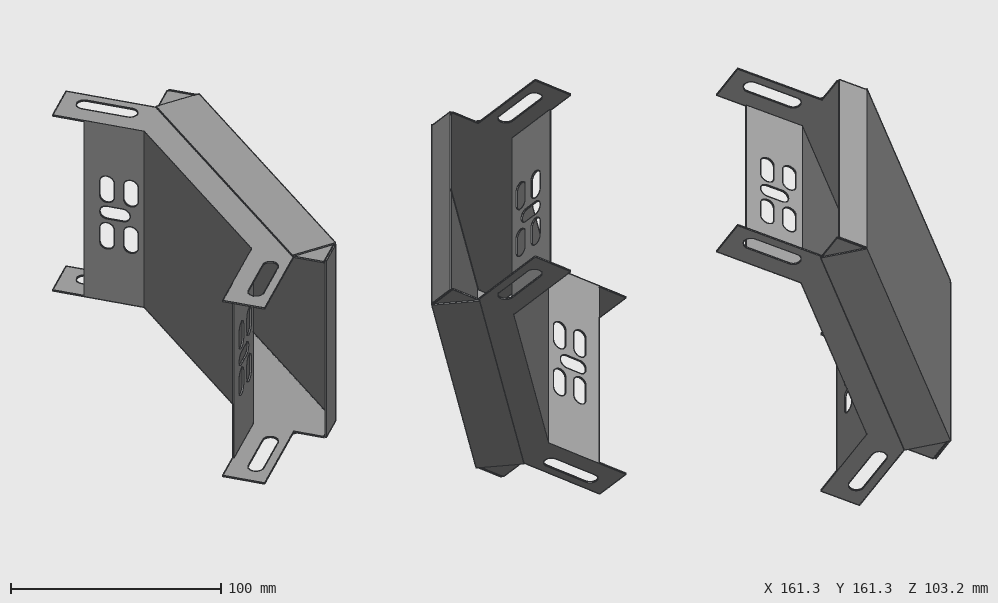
import cadquery as cq
import math

overall_length = 161.3
overall_height = 103.2

sheet = 0.8

arm_inner = 124.2
arm_outer = 145.2
bend_start = 45.7
wall_start = 15.6

lid_corner = 61.1
end_wall_start = 46.3
lip_reach = 16.3
clearance = 0.3

flange_slot_length = 30.3
flange_slot_width = 7.6
flange_slot_x = 23.0
flange_slot_edge_distance = 8.0

wall_slot_length = 15.2
wall_slot_width = 7.3
wall_slot_x = 27.1
wall_slot_column_pitch = 12.0
wall_slot_row_pitch = 26.8

bracket_height = overall_height - 2 * sheet
bend_angle = 45.0
bend_shift = math.tan(math.radians(bend_angle / 2))
flange_slot_y = arm_outer - flange_slot_edge_distance


def mirrored(points):
    """Extend a half outline with its mirror image about x = y."""
    return points + [(y, x) for x, y in reversed(points)]


def prism(points, bottom, height):
    """Extrude a closed plan outline upward from the given level."""
    return cq.Workplane("XY").workplane(offset=bottom).polyline(points).close().extrude(height)


def bent_wall(start, corner, line, thickness):
    """Sheet wall along y = line, bent to the diagonal at x = corner, thickened toward larger Y."""
    near_face = mirrored([(start, line), (corner, line)])
    far_corner = corner + thickness * bend_shift
    far_face = mirrored([(start, line + thickness), (far_corner, line + thickness)])
    return prism(near_face + far_face[::-1], -bracket_height / 2, bracket_height)


def both_arms(tool):
    """A tool for the X arm together with its mirror image for the Y arm."""
    twin = tool.rotate((0, 0, 0), (1, 1, 0), 180)
    return tool.union(twin)


def make_flange_slots():
    """Cutters for the long slots, through the top and bottom flanges of both arms."""
    slot = (
        cq.Workplane("XY")
        .center(flange_slot_x, flange_slot_y)
        .slot2D(flange_slot_length, flange_slot_width)
        .extrude(overall_height / 2, both=True)
    )
    return both_arms(slot)


def make_wall_slots():
    """Cutters for the five slots in each arm wall."""
    wall_plane = cq.Workplane("XZ", origin=(0, arm_inner, 0))
    upright_centers = [
        (wall_slot_x + column * wall_slot_column_pitch, side * wall_slot_row_pitch / 2)
        for column in (0, 1)
        for side in (-1, 1)
    ]
    upright = (
        wall_plane.pushPoints(upright_centers)
        .slot2D(wall_slot_length, wall_slot_width, 90)
        .extrude(2 * sheet, both=True)
    )
    flat_x = wall_slot_x + (wall_slot_length - wall_slot_width) / 2
    flat = (
        wall_plane.center(flat_x, 0)
        .slot2D(wall_slot_length, wall_slot_width)
        .extrude(2 * sheet, both=True)
    )
    return both_arms(upright.union(flat))


def make_bracket():
    """Elbow channel: bent inner wall between a top and a bottom flange."""
    flange_inset = sheet + clearance
    flange_end = overall_length - flange_inset
    flange_corner = lid_corner - flange_inset * bend_shift
    outer_edge = mirrored([
        (0, arm_outer),
        (bend_start, arm_outer),
        (bend_start, flange_end),
        (flange_corner, flange_end),
    ])
    inner_edge = mirrored([(0, arm_inner), (bend_start, arm_inner)])
    flange_outline = outer_edge + inner_edge[::-1]

    bracket = bent_wall(wall_start, bend_start, arm_inner, sheet)
    for bottom in (-bracket_height / 2, bracket_height / 2 - sheet):
        bracket = bracket.union(prism(flange_outline, bottom, sheet))
    return bracket.cut(make_flange_slots()).cut(make_wall_slots())


def make_lid():
    """Outer cover: bent outer wall with a rectangular lip above and below the flanges."""
    inner_face = overall_length - sheet
    inner_corner = lid_corner - sheet * bend_shift
    lid = bent_wall(end_wall_start, inner_corner, inner_face, sheet)
    square_shift = sheet / math.sqrt(2)
    lip_x = inner_corner + square_shift
    lip_y = inner_face + square_shift
    lip_outline = mirrored([(lip_x - lip_reach, lip_y - lip_reach), (lip_x, lip_y)])
    for bottom in (-overall_height / 2, bracket_height / 2):
        lid = lid.union(prism(lip_outline, bottom, sheet))
    return lid


bracket = make_bracket()
lid = make_lid()

result = cq.Compound.makeCompound([bracket.val(), lid.val()])